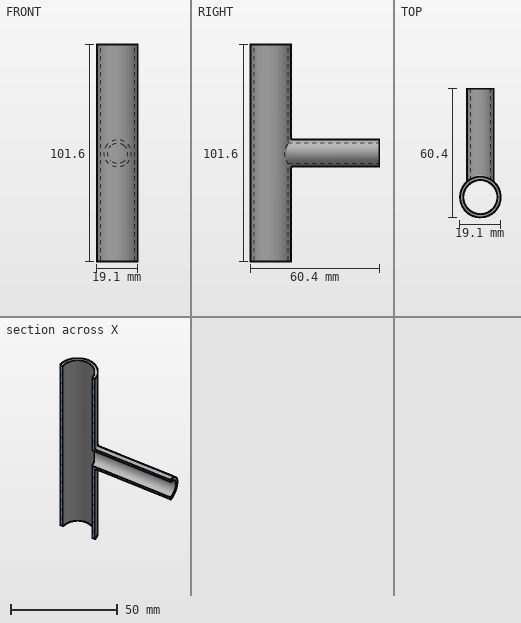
import cadquery as cq

tube_length = 101.6
tube_outer_diameter = 19.1
tube_wall = 1.6
tube_bore_diameter = tube_outer_diameter - 2 * tube_wall

branch_reach = tube_length / 2
branch_outer_diameter = 12.7
branch_bore_diameter = branch_outer_diameter - 2 * tube_wall
joint_fillet_radius = 0.8


def upright_cylinder(diameter):
    return cq.Workplane("XY").circle(diameter / 2).extrude(tube_length / 2, both=True)


def branch_cylinder(diameter):
    return cq.Workplane("XZ").circle(diameter / 2).extrude(-branch_reach)


outer = upright_cylinder(tube_outer_diameter).union(branch_cylinder(branch_outer_diameter))
joint_edges = cq.selectors.BoxSelector(
    (-tube_outer_diameter / 2, 0, -tube_outer_diameter / 2),
    (tube_outer_diameter / 2, tube_outer_diameter / 2 + joint_fillet_radius, tube_outer_diameter / 2),
    boundingbox=True,
)
outer = outer.edges(joint_edges).fillet(joint_fillet_radius)

result = outer.cut(upright_cylinder(tube_bore_diameter)).cut(branch_cylinder(branch_bore_diameter))